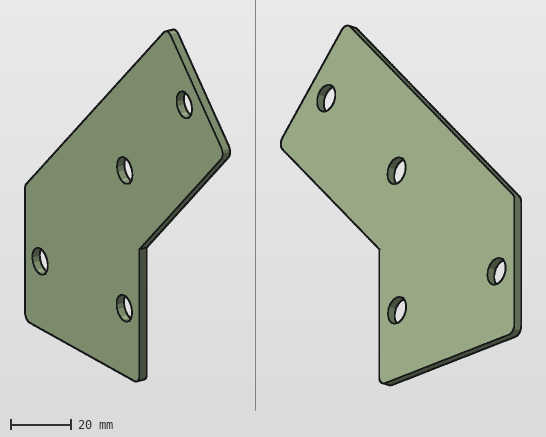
import cadquery as cq
import math

total_height = 131.6
thickness = 3.0

base_width = 68.0
base_height = 48.2
corner_radius = 3.0

hole_diameter = 9.1
hole_spacing = 50.0
base_hole_height = 24.1
arm_hole_end_distance = 10.0

corner_cutback = corner_radius * (math.sqrt(2) - 1)
arm_rise = total_height + corner_cutback - base_height
half_width = base_width / 2

bottom_left = (0, 0)
bottom_right = (base_width, 0)
inner_bend = (base_width, base_height)
arm_right = (arm_rise + half_width, base_height + arm_rise - half_width)
arm_top = (arm_rise, base_height + arm_rise)
outer_bend = (0, base_height)


def make_plate():
    """Bent flat plate with every convex corner rounded; the inner bend stays sharp."""
    corners = [bottom_left, bottom_right, inner_bend, arm_right, arm_top, outer_bend]
    plate = cq.Workplane("XZ").polyline(corners).close().extrude(thickness)
    for x, z in (bottom_left, bottom_right, arm_right, arm_top, outer_bend):
        edge = cq.selectors.NearestToPointSelector((x, -thickness / 2, z))
        plate = plate.edges(edge).fillet(corner_radius)
    return plate


def hole_centres():
    """Two holes level across the base and two along the arm's centre line."""
    base_left = (half_width - hole_spacing / 2, base_hole_height)
    base_right = (half_width + hole_spacing / 2, base_hole_height)
    end_step = arm_hole_end_distance / math.sqrt(2)
    spacing_step = hole_spacing / math.sqrt(2)
    end_x = (arm_top[0] + arm_right[0]) / 2
    end_z = (arm_top[1] + arm_right[1]) / 2
    arm_outer = (end_x - end_step, end_z - end_step)
    arm_inner = (arm_outer[0] - spacing_step, arm_outer[1] - spacing_step)
    return [base_left, base_right, arm_inner, arm_outer]


holes = (
    cq.Workplane("XZ")
    .pushPoints(hole_centres())
    .circle(hole_diameter / 2)
    .extrude(thickness)
)
result = make_plate().cut(holes)